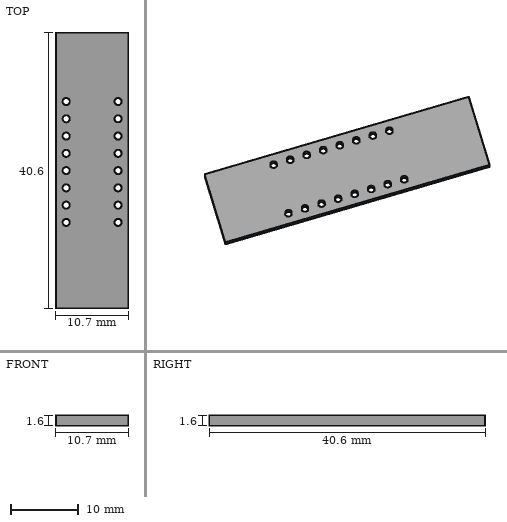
import cadquery as cq

plate_width = 10.7
plate_length = 40.65
plate_thickness = 1.6

hole_diameter = 1.0
holes_per_row = 8
row_length = 17.8
row_spacing = 7.65
row_center_y = 1.25
hole_pitch = row_length / (holes_per_row - 1)

plate = cq.Workplane("XY").box(plate_width, plate_length, plate_thickness)

result = (
    plate.faces(">Z")
    .workplane()
    .center(0, row_center_y)
    .rarray(row_spacing, hole_pitch, 2, holes_per_row)
    .hole(hole_diameter)
)